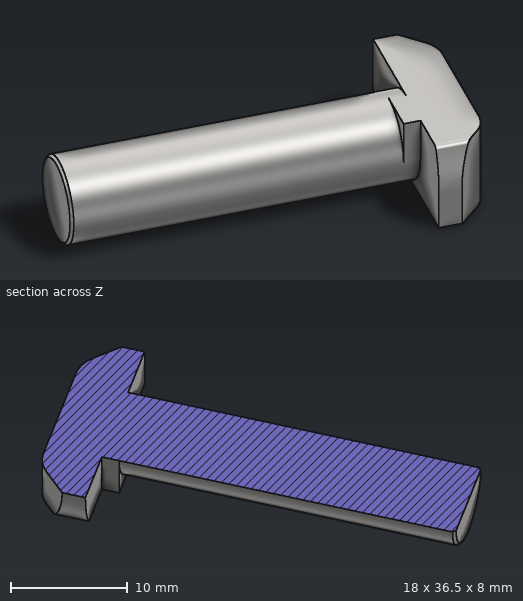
import cadquery as cq
import math

total_length = 36.5
head_width = 18.0
shank_diameter = 8.0
head_height = 4.95
shank_end_chamfer = 0.25

head_end_height = 2.08
back_corner_radius = 3.0

turn_corner_radius = 0.62
edge_radius = 0.2

shoulder_height = 1.55

half_width = head_width / 2
shank_radius = shank_diameter / 2
back_y = total_length / 2
seat_y = back_y - head_height
flank_run = head_height - head_end_height


def make_tapered_head():
    """Head outline in XY, extruded through the full thickness."""
    end_y = seat_y + head_end_height
    back_half_width = half_width - flank_run
    return (
        cq.Workplane("XY")
        .moveTo(-half_width, seat_y)
        .lineTo(half_width, seat_y)
        .lineTo(half_width, end_y)
        .lineTo(back_half_width, back_y)
        .lineTo(-back_half_width, back_y)
        .lineTo(-half_width, end_y)
        .close()
        .extrude(shank_radius, both=True)
        .edges("|Z and >Y")
        .fillet(back_corner_radius)
    )


def make_turning_envelope():
    """Prism along Y whose two opposite corners lie on the turning circle."""
    corner_x = math.sqrt(half_width**2 - shank_radius**2)
    middle_angle = math.asin(shank_radius / half_width) / 2
    arc_x = half_width * math.cos(middle_angle)
    arc_z = half_width * math.sin(middle_angle)
    envelope = (
        cq.Workplane("XZ", origin=(0, back_y, 0))
        .moveTo(half_width, 0)
        .threePointArc((arc_x, arc_z), (corner_x, shank_radius))
        .lineTo(-half_width, shank_radius)
        .lineTo(-half_width, 0)
        .threePointArc((-arc_x, -arc_z), (-corner_x, -shank_radius))
        .lineTo(half_width, -shank_radius)
        .close()
        .extrude(head_height)
    )
    for side in (1, -1):
        turn_corner = cq.selectors.NearestToPointSelector(
            (side * corner_x, back_y - head_height / 2, side * shank_radius)
        )
        square_corner = cq.selectors.NearestToPointSelector(
            (-side * half_width, back_y - head_height / 2, side * shank_radius)
        )
        envelope = envelope.edges(turn_corner).fillet(turn_corner_radius)
        envelope = envelope.edges(square_corner).fillet(edge_radius)
    return envelope


def make_shank():
    """Round shank with a chamfered free end."""
    return (
        cq.Workplane("XZ", origin=(0, back_y - head_height / 2, 0))
        .circle(shank_radius)
        .extrude(total_length - head_height / 2)
        .faces("<Y")
        .chamfer(shank_end_chamfer)
    )


def make_shoulder(side):
    """Square quarter block under the head, at +X+Z (side 1) or -X-Z (side -1)."""
    block_height = shoulder_height + head_height / 2
    block_y = seat_y - shoulder_height + block_height / 2
    return cq.Workplane("XY").box(shank_radius, block_height, shank_radius).translate(
        (side * shank_radius / 2, block_y, side * shank_radius / 2)
    )


head = make_tapered_head().intersect(make_turning_envelope())
result = head.union(make_shank())
for shoulder_side in (1, -1):
    result = result.union(make_shoulder(shoulder_side))